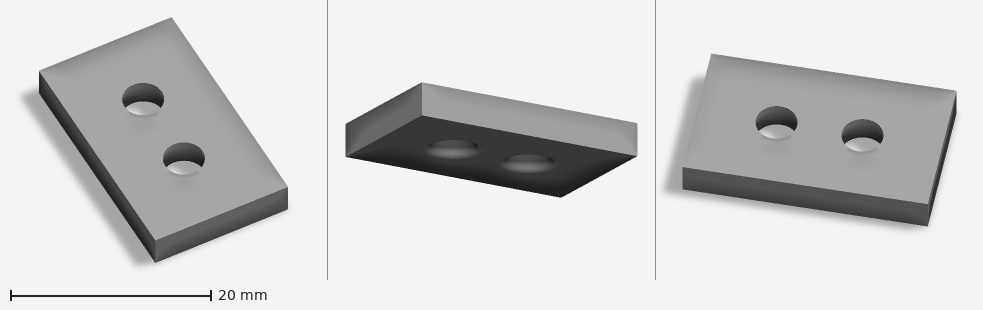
import cadquery as cq

plate_length = 25.0
plate_width = 15.0
plate_thickness = 3.5

hole_diameter = 4.2
hole_spacing = 8.75
hole_rim_radius = 1.0


def make_plate():
    """Rectangular plate centred on the origin."""
    return cq.Workplane("XY").box(plate_length, plate_width, plate_thickness)


def drill_holes(plate):
    """Drill the pair of holes through the plate thickness."""
    hole_centres = [(-hole_spacing / 2, 0), (hole_spacing / 2, 0)]
    return plate.faces(">Z").workplane().pushPoints(hole_centres).hole(hole_diameter)


def round_lower_rims(plate):
    """Round the circular hole rims on the bottom face so each hole flares downward."""
    return plate.faces("<Z").edges("%CIRCLE").fillet(hole_rim_radius)


result = round_lower_rims(drill_holes(make_plate()))